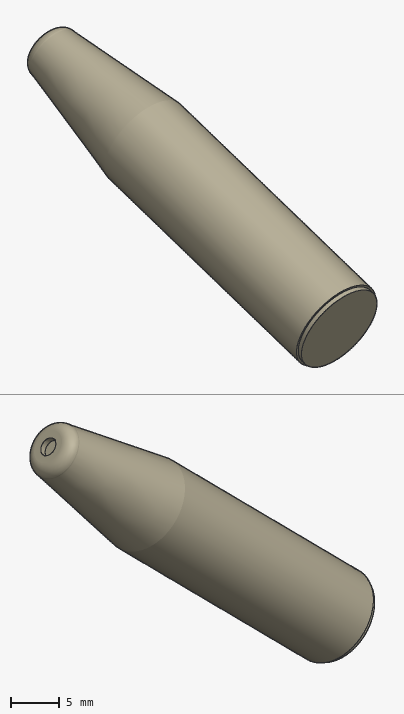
import cadquery as cq

length = 47.55
body_diameter = 10.7
taper_end_length = 15.95
nose_diameter = 6.28
nose_flat_diameter = 3.7
nose_round_length = 1.15
nose_land_length = 0.15
end_step_length = 0.5
end_step_depth = 0.25
hole_diameter = 2.0
hole_depth = 0.7

body_radius = body_diameter / 2
nose_radius = nose_diameter / 2
nose_flat_radius = nose_flat_diameter / 2
end_step_radius = body_radius - end_step_depth

nose_face_x = -length / 2
nose_round_end_x = nose_face_x + nose_round_length
taper_start_x = nose_round_end_x + nose_land_length
taper_end_x = nose_face_x + taper_end_length
end_face_x = length / 2
end_step_x = end_face_x - end_step_length


def make_body():
    """Revolve the half profile: rounded nose, land, taper, cylinder and stepped end."""
    return (
        cq.Workplane("XY")
        .moveTo(nose_face_x, 0)
        .lineTo(nose_face_x, nose_flat_radius)
        .tangentArcPoint((nose_round_end_x, nose_radius), relative=False)
        .lineTo(taper_start_x, nose_radius)
        .lineTo(taper_end_x, body_radius)
        .lineTo(end_step_x, body_radius)
        .lineTo(end_step_x, end_step_radius)
        .lineTo(end_face_x, end_step_radius)
        .lineTo(end_face_x, 0)
        .close()
        .revolve(360, (0, 0, 0), (1, 0, 0))
    )


def make_nose_hole():
    """Shallow flat-bottomed hole in the middle of the nose face."""
    return (
        cq.Workplane("YZ", origin=(nose_face_x, 0, 0))
        .circle(hole_diameter / 2)
        .extrude(hole_depth)
    )


result = make_body().cut(make_nose_hole())